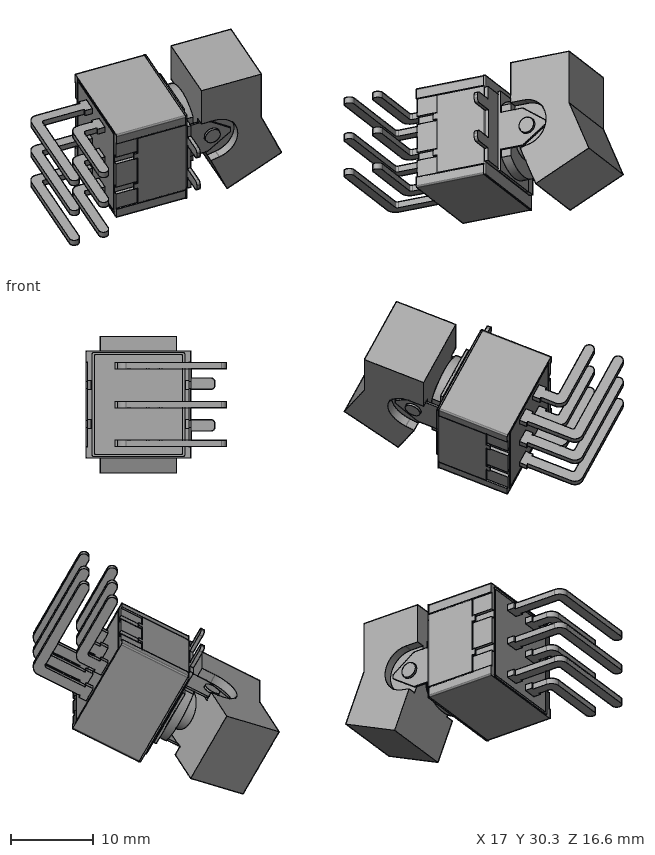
import cadquery as cq
import math


OVERALL_X = 17.0
OVERALL_Y = 30.3

FRAME_SHEET = 0.2
FRAME_TOP_Y = 9.3
FRAME_EDGE_RADIUS = FRAME_SHEET
LEG_HALF_Z = 5.1
LEG_END_Y = 2.8
TAB_END_Y = 2.3
TAB_HEIGHT = 0.82
LATCH_Z = 2.35

HOUSING_X = 12.7
HOUSING_Z = 12.97
HOUSING_EDGE_RADIUS = 0.18
HOUSING_TOP_Y = FRAME_TOP_Y - FRAME_SHEET
LEG_RECESS_HALF_Z = 5.15
GROOVE_HEIGHT = 1.05
GROOVE_DEPTH = 0.42
GROOVE_UNDERCUT = 0.18

LINER_X = 11.2
LINER_Z = 12.6
LINER_WALL = 0.27
LINER_CORNER_RADIUS = 0.25
LINER_INNER_RADIUS = 0.15

TERMINAL_THICK = 0.8
TERMINAL_WIDTH = 1.27
TERMINAL_PITCH_Z = 4.7
TERMINAL_OFFSET_X = 1.9
TERMINAL_TIP_X = OVERALL_X - HOUSING_X / 2
LONG_REACH_Y = -7.82
SHORT_REACH_Y = -3.97
SHOULDER_WIDTH = 1.82
SHOULDER_LENGTH = 0.97
BEND_INNER_RADIUS = 0.27
BEND_OUTER_RADIUS = 1.05

MOUNT_TOP_Y = 9.75
MOUNT_LEFT_X = -5.58
MOUNT_RIGHT_X = 6.42
MOUNT_HALF_Z = 4.85
MOUNT_LEG_TIP_X = 9.25
MOUNT_LEG_WIDTH = 1.4
MOUNT_LEG_Z = 2.5
MOUNT_LEG_TIP_RADIUS = 0.48
YOKE_TOP_Y = 10.1
YOKE_HALF_Z = 5.2
EAR_INNER_X = 3.45
EAR_THICK = 0.25
EAR_OUTER_X = EAR_INNER_X + EAR_THICK
EAR_HALF_Z = 2.42
EAR_SHOULDER_Y = 13.1
EAR_TIP_Y = 16.15
EAR_TIP_HALF_Z = 0.27
BUSHING_DIAMETER = 9.7
BUSHING_TOP_Y = 11.33
NECK_DIAMETER = 5.1

PIVOT_Y = 13.7
PIVOT_DIAMETER = 1.97
PIVOT_HOLE_DIAMETER = 2.03
PIVOT_END_X = 3.97
ROCKER_WIDTH = 9.25
ROCKER_THICK = 7.9
ROCKER_INNER_Y = 11.9
ROCKER_OUTER_Y = ROCKER_INNER_Y + ROCKER_THICK
ROCKER_TOP_Z = 8.25
ROCKER_KINK_Z = 1.45
ROCKER_BEND = math.radians(22.5)
ROCKER_END_TILT = math.radians(24.7)
ROCKER_TIP_Y = OVERALL_Y + LONG_REACH_Y
EAR_POCKET_RADIUS = 3.0
NECK_TOP_Y = PIVOT_Y


def box(x_min, x_max, y_min, y_max, z_min, z_max):
    """Solid block between the given limits."""
    size = (x_max - x_min, y_max - y_min, z_max - z_min)
    return cq.Workplane("XY").box(*size, centered=False).translate((x_min, y_min, z_min))


def centred_block(x_size, z_size, y_min, y_max):
    """Block centred on X = 0 and Z = 0."""
    return box(-x_size / 2, x_size / 2, y_min, y_max, -z_size / 2, z_size / 2)


def disc(diameter, y_min, y_max):
    """Cylinder on the switch axis, parallel to Y."""
    plane = cq.Workplane("XZ", origin=(0, y_min, 0))
    return plane.circle(diameter / 2).extrude(y_min - y_max)


def mirrored_pair(shape):
    """The shape together with its mirror image on the other side of X = 0."""
    return shape.union(shape.mirror("YZ"))


def make_frame():
    """Channel with a full-height top, narrower legs on both sides and rounded bends."""
    inner_x = HOUSING_X / 2 - FRAME_SHEET
    outer_x = HOUSING_X / 2
    top = centred_block(HOUSING_X, HOUSING_Z, HOUSING_TOP_Y, FRAME_TOP_Y)
    leg = box(inner_x, outer_x, LEG_END_Y, HOUSING_TOP_Y, -LEG_HALF_Z, LEG_HALF_Z)
    for z in (-LATCH_Z, LATCH_Z):
        tab = box(inner_x, outer_x, TAB_END_Y, LEG_END_Y, z - TAB_HEIGHT / 2, z + TAB_HEIGHT / 2)
        leg = leg.union(tab)
    rounded_envelope = centred_block(HOUSING_X, HOUSING_Z, 0, FRAME_TOP_Y)
    rounded_envelope = rounded_envelope.faces(">Y").edges("|Z").fillet(FRAME_EDGE_RADIUS)
    return top.union(mirrored_pair(leg)).intersect(rounded_envelope)


def make_latch_groove(z):
    """Groove behind a frame tab, open towards -Y, with an undercut end wall."""
    face_x = HOUSING_X / 2 - FRAME_SHEET
    floor_x = face_x - GROOVE_DEPTH
    outline = [
        (face_x, 0),
        (floor_x, 0),
        (floor_x, LEG_END_Y + GROOVE_UNDERCUT),
        (face_x, LEG_END_Y),
    ]
    groove = cq.Workplane("XY").polyline(outline).close().extrude(GROOVE_HEIGHT)
    return groove.translate((0, 0, z - GROOVE_HEIGHT / 2))


def make_housing():
    body = centred_block(HOUSING_X, HOUSING_Z, 0, HOUSING_TOP_Y)
    body = body.edges("|Y").fillet(HOUSING_EDGE_RADIUS)
    side_cut = box(
        HOUSING_X / 2 - FRAME_SHEET, HOUSING_X / 2, 0, HOUSING_TOP_Y, -LEG_RECESS_HALF_Z, LEG_RECESS_HALF_Z
    )
    for z in (-LATCH_Z, LATCH_Z):
        side_cut = side_cut.union(make_latch_groove(z))
    return body.cut(mirrored_pair(side_cut)).cut(make_liner_envelope())


def make_liner_envelope():
    envelope = centred_block(LINER_X, LINER_Z, 0, HOUSING_TOP_Y)
    return envelope.edges("|Y").fillet(LINER_CORNER_RADIUS)


def make_base_block():
    block = centred_block(LINER_X - 2 * LINER_WALL, LINER_Z - 2 * LINER_WALL, 0, HOUSING_TOP_Y)
    return block.edges("|Y").fillet(LINER_INNER_RADIUS)


def make_liner():
    return make_liner_envelope().cut(make_base_block())


def make_terminal(x, z, reach_y):
    """L-shaped terminal leaving the base along -Y and bent towards +X, with a round tip."""
    half = TERMINAL_WIDTH / 2
    z_min = z - TERMINAL_THICK / 2
    z_max = z + TERMINAL_THICK / 2
    shoulder = box(x - SHOULDER_WIDTH / 2, x + SHOULDER_WIDTH / 2, -SHOULDER_LENGTH, 0, z_min, z_max)
    outline = [
        (x - half, 0),
        (x - half, reach_y),
        (TERMINAL_TIP_X - half, reach_y),
    ]
    tip = (TERMINAL_TIP_X, reach_y + half)
    tip_end = (TERMINAL_TIP_X - half, reach_y + TERMINAL_WIDTH)
    blade = cq.Workplane("XY", origin=(0, 0, z_min)).polyline(outline).threePointArc(tip, tip_end)
    blade = blade.lineTo(x + half, tip_end[1]).lineTo(x + half, 0).close().extrude(TERMINAL_THICK)
    corner = cq.selectors.NearestToPointSelector
    blade = blade.edges(corner((x - half, reach_y, z))).fillet(BEND_OUTER_RADIUS)
    blade = blade.edges(corner((x + half, tip_end[1], z))).fillet(BEND_INNER_RADIUS)
    return blade.union(shoulder)


def make_base():
    base = make_base_block()
    for row in (-1, 0, 1):
        z = row * TERMINAL_PITCH_Z
        base = base.union(make_terminal(-TERMINAL_OFFSET_X, z, LONG_REACH_Y))
        base = base.union(make_terminal(TERMINAL_OFFSET_X, z, SHORT_REACH_Y))
    return base


def make_mounting_plate():
    """Flat plate with two mounting legs towards +X and a shallow relief between them."""
    plate = box(MOUNT_LEFT_X, MOUNT_RIGHT_X, FRAME_TOP_Y, MOUNT_TOP_Y, -MOUNT_HALF_Z, MOUNT_HALF_Z)
    relief = box(HOUSING_X / 2, MOUNT_RIGHT_X, FRAME_TOP_Y, MOUNT_TOP_Y, -MOUNT_LEG_Z, MOUNT_LEG_Z)
    plate = plate.cut(relief)
    for z in (-MOUNT_LEG_Z, MOUNT_LEG_Z):
        leg = box(
            0, MOUNT_LEG_TIP_X, FRAME_TOP_Y, MOUNT_TOP_Y, z - MOUNT_LEG_WIDTH / 2, z + MOUNT_LEG_WIDTH / 2
        )
        plate = plate.union(leg.faces(">X").edges("|Y").fillet(MOUNT_LEG_TIP_RADIUS))
    return plate


def make_ear():
    """Pointed ear on the +X side, with the pivot hole."""
    outline = [
        (MOUNT_TOP_Y, -EAR_HALF_Z),
        (EAR_SHOULDER_Y, -EAR_HALF_Z),
        (EAR_TIP_Y, -EAR_TIP_HALF_Z),
        (EAR_TIP_Y, EAR_TIP_HALF_Z),
        (EAR_SHOULDER_Y, EAR_HALF_Z),
        (MOUNT_TOP_Y, EAR_HALF_Z),
    ]
    plane = cq.Workplane("YZ", origin=(EAR_INNER_X, 0, 0))
    ear = plane.polyline(outline).close().extrude(EAR_THICK)
    hole = plane.center(PIVOT_Y, 0).circle(PIVOT_HOLE_DIAMETER / 2).extrude(EAR_THICK)
    return ear.cut(hole)


def make_bushing():
    """Round bushing with flats along the ears, and a neck that enters the rocker."""
    between_ears = centred_block(2 * EAR_INNER_X, BUSHING_DIAMETER, YOKE_TOP_Y, BUSHING_TOP_Y)
    collar = disc(BUSHING_DIAMETER, YOKE_TOP_Y, BUSHING_TOP_Y).intersect(between_ears)
    return collar.union(disc(NECK_DIAMETER, YOKE_TOP_Y, NECK_TOP_Y))


def make_bracket():
    yoke = centred_block(2 * EAR_OUTER_X, 2 * YOKE_HALF_Z, MOUNT_TOP_Y, YOKE_TOP_Y)
    bracket = make_mounting_plate().union(yoke).union(mirrored_pair(make_ear()))
    return bracket.union(make_bushing())


def make_rocker_block():
    """Bent bar: a straight upper arm and a lower arm that leans towards +Y."""
    arm_drop = (ROCKER_TIP_Y - ROCKER_OUTER_Y) / math.tan(ROCKER_BEND)
    outer_tip = (ROCKER_TIP_Y, ROCKER_KINK_Z - arm_drop)
    end_length = ROCKER_THICK / math.cos(ROCKER_END_TILT - ROCKER_BEND)
    inner_tip = (
        outer_tip[0] - end_length * math.cos(ROCKER_END_TILT),
        outer_tip[1] - end_length * math.sin(ROCKER_END_TILT),
    )
    inner_kink_z = ROCKER_KINK_Z - ROCKER_THICK * math.tan(ROCKER_BEND / 2)
    outline = [
        (ROCKER_INNER_Y, ROCKER_TOP_Z),
        (ROCKER_OUTER_Y, ROCKER_TOP_Z),
        (ROCKER_OUTER_Y, ROCKER_KINK_Z),
        outer_tip,
        inner_tip,
        (ROCKER_INNER_Y, inner_kink_z),
    ]
    block = cq.Workplane("YZ").polyline(outline).close().extrude(ROCKER_WIDTH)
    return block.translate((-ROCKER_WIDTH / 2, 0, 0))


def make_ear_pocket():
    """Pocket on the +X side that clears an ear, round about the pivot and open towards -Y."""
    tilt = ROCKER_BEND / 2
    run = PIVOT_Y - BUSHING_TOP_Y
    radius = EAR_POCKET_RADIUS
    low_end = (radius * math.sin(tilt), -radius * math.cos(tilt))
    mouth_z = -radius / math.cos(tilt) - run * math.tan(tilt)
    plane = cq.Workplane("YZ", origin=(EAR_INNER_X, PIVOT_Y, 0))
    pocket = plane.moveTo(-run, radius).lineTo(0, radius).threePointArc((radius, 0), low_end)
    return pocket.lineTo(-run, mouth_z).close().extrude(ROCKER_WIDTH / 2 - EAR_INNER_X)


def make_rocker():
    rocker = make_rocker_block().cut(mirrored_pair(make_ear_pocket()))
    plane = cq.Workplane("YZ", origin=(EAR_INNER_X, PIVOT_Y, 0))
    pivot = plane.circle(PIVOT_DIAMETER / 2).extrude(PIVOT_END_X - EAR_INNER_X)
    return rocker.cut(disc(NECK_DIAMETER, BUSHING_TOP_Y, NECK_TOP_Y)).union(mirrored_pair(pivot))


frame = make_frame()
housing = make_housing()
liner = make_liner()
base = make_base()
bracket = make_bracket()
rocker = make_rocker()

result = cq.Compound.makeCompound(
    [frame.val(), housing.val(), liner.val(), base.val(), bracket.val(), rocker.val()]
)